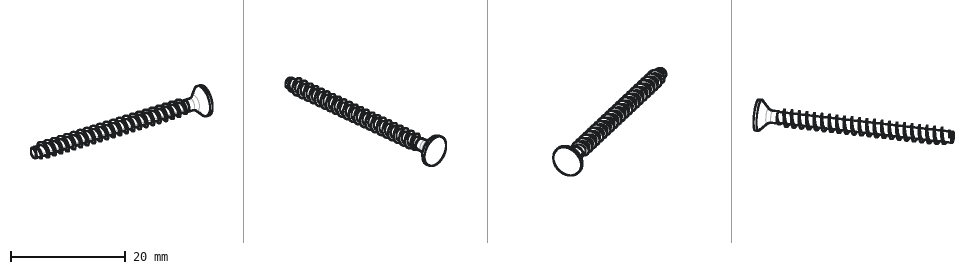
import cadquery as cq
import math

length = 35.0

head_radius = 5.5 / 2
rim_thickness = 0.55
neck_radius = 1.1
neck_end = 3.75
cone_angle = math.radians(45)
neck_fillet = 1.12
core_radius = 0.98
tip_radius = 0.85
tip_chamfer = 0.1

thread_radius = 1.5
thread_root_radius = 0.9
buried_radius = 0.95
root_width = 0.35
crest_width = 0.07
thread_start = 3.85
thread_end = 34.7
turns = 23
pitch = (thread_end - thread_start) / turns

rise_start = -0.25
rise_end = 0.6
fall_turns = 1.15
fall_start = turns - fall_turns
fall_end = turns
samples_per_turn = 20


def make_body():
    """Revolve the countersunk head, neck, core and chamfered tip about the Y axis."""
    half_angle = cone_angle / 2
    cone_end = rim_thickness + (head_radius - neck_radius) / math.tan(cone_angle)
    tangent = neck_fillet * math.tan(half_angle)
    arc_start_rise = tangent * math.sin(cone_angle)
    arc_start_depth = cone_end - tangent * math.cos(cone_angle)
    arc_middle_rise = neck_fillet * (1 - math.cos(half_angle))
    arc_end_depth = cone_end + tangent
    arc_middle_depth = arc_end_depth - neck_fillet * math.sin(half_angle)
    return (
        cq.Workplane("XY")
        .moveTo(0, 0)
        .lineTo(head_radius, 0)
        .lineTo(head_radius, -rim_thickness)
        .lineTo(neck_radius + arc_start_rise, -arc_start_depth)
        .threePointArc(
            (neck_radius + arc_middle_rise, -arc_middle_depth),
            (neck_radius, -arc_end_depth),
        )
        .lineTo(neck_radius, -neck_end)
        .lineTo(core_radius, -neck_end)
        .lineTo(core_radius, -(length - tip_chamfer))
        .lineTo(tip_radius, -length)
        .lineTo(0, -length)
        .close()
        .revolve(360, (0, 0, 0), (0, 1, 0))
    )


def helix_edge(first_turn, last_turn, first_radius, last_radius, axial_offset):
    """Helix whose radius changes evenly from its first turn to its last."""
    span = last_turn - first_turn

    def point(fraction):
        turn = first_turn + span * fraction
        angle = 2 * math.pi * turn
        radius = first_radius + (last_radius - first_radius) * fraction
        depth = thread_start + pitch * turn + axial_offset
        return cq.Vector(-radius * math.cos(angle), -depth, -radius * math.sin(angle))

    samples = math.ceil(span * samples_per_turn)
    return cq.Edge.makeSpline([point(i / samples) for i in range(samples + 1)])


def thread_section(first_turn, last_turn, first_crest, last_crest):
    """Solid trapezoidal ridge between two turns, with a crest that may rise or fall."""
    corners = [
        (thread_root_radius, thread_root_radius, -root_width / 2),
        (first_crest, last_crest, -crest_width / 2),
        (first_crest, last_crest, crest_width / 2),
        (thread_root_radius, thread_root_radius, root_width / 2),
    ]
    edges = [helix_edge(first_turn, last_turn, *corner) for corner in corners]
    sides = [cq.Face.makeRuledSurface(edges[i - 1], edges[i]) for i in range(len(edges))]
    caps = []
    for end in (0, 1):
        outline = [edge.positionAt(end) for edge in edges]
        caps.append(cq.Face.makeFromWires(cq.Wire.makePolygon(outline, close=True)))
    shell = cq.Shell.makeShell(sides + caps)
    return cq.Workplane(cq.Solid.makeSolid(shell).fix())


run_in = thread_section(rise_start, rise_end, buried_radius, thread_radius)
full_thread = thread_section(rise_end, fall_start, thread_radius, thread_radius)
run_out = thread_section(fall_start, fall_end, thread_radius, buried_radius)

screw = make_body().union(full_thread).union(run_in).union(run_out)
result = screw.solids()